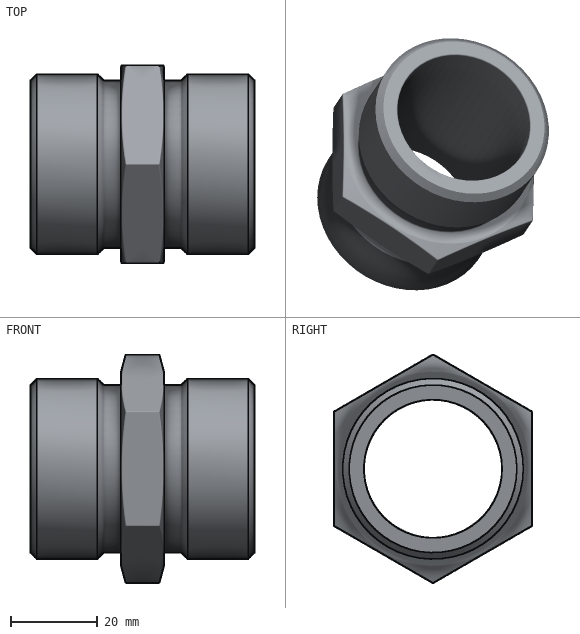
import cadquery as cq
import math

length = 52.0
bore_diameter = 32.0
thread_diameter = 41.91
relief_diameter = 39.0

hex_across_flats = 46.0
hex_width = 10.0
hex_face_diameter = 45.1
hex_chamfer_angle = 15.0

end_chamfer = 1.5
relief_width = 4.0
shoulder_length = 1.5
edge_radius = 0.3

half_length = length / 2
half_hex_width = hex_width / 2
bore_radius = bore_diameter / 2
thread_radius = thread_diameter / 2
relief_radius = relief_diameter / 2
hex_face_radius = hex_face_diameter / 2
hex_across_corners = hex_across_flats / math.cos(math.radians(30))


def revolve_about_x(profile):
    return profile.close().revolve(360, (0, 0, 0), (1, 0, 0))


def make_hex_collar():
    """Hexagon with corners up and down, coned on both faces and rounded on every edge."""
    prism = (
        cq.Workplane("YZ")
        .polygon(6, hex_across_corners)
        .extrude(half_hex_width, both=True)
        .rotate((0, 0, 0), (1, 0, 0), 90)
    )
    overrun = 1.0
    envelope_radius = hex_across_corners / 2 + overrun
    cone_drop = (envelope_radius - hex_face_radius) * math.tan(math.radians(hex_chamfer_angle))
    cone_base = half_hex_width - cone_drop
    envelope = revolve_about_x(
        cq.Workplane("XY")
        .moveTo(-half_hex_width, 0)
        .lineTo(-half_hex_width, hex_face_radius)
        .lineTo(-cone_base, envelope_radius)
        .lineTo(cone_base, envelope_radius)
        .lineTo(half_hex_width, hex_face_radius)
        .lineTo(half_hex_width, 0)
    )
    return prism.intersect(envelope).edges().fillet(edge_radius)


def make_threaded_end():
    """The +X end: undercut beside the collar, sloped shoulder and chamfered cylinder."""
    slope_start = half_hex_width + relief_width
    slope_end = slope_start + shoulder_length

    root_x = half_hex_width + edge_radius
    root_r = relief_radius + edge_radius
    root_mid = edge_radius * (1 - math.cos(math.radians(45)))

    slope_angle = math.atan2(thread_radius - relief_radius, shoulder_length)
    half_turn = slope_angle / 2
    slope_trim = edge_radius * math.tan(half_turn)
    arc_end_x = slope_start + slope_trim * math.cos(slope_angle)
    arc_end_r = relief_radius + slope_trim * math.sin(slope_angle)
    arc_start_x = slope_start - slope_trim
    arc_mid_x = arc_start_x + edge_radius * math.sin(half_turn)
    arc_mid_r = relief_radius + edge_radius * (1 - math.cos(half_turn))

    return revolve_about_x(
        cq.Workplane("XY")
        .lineTo(0, root_r)
        .lineTo(half_hex_width, root_r)
        .threePointArc((half_hex_width + root_mid, relief_radius + root_mid), (root_x, relief_radius))
        .lineTo(arc_start_x, relief_radius)
        .threePointArc((arc_mid_x, arc_mid_r), (arc_end_x, arc_end_r))
        .lineTo(slope_end, thread_radius)
        .lineTo(half_length - end_chamfer, thread_radius)
        .lineTo(half_length, thread_radius - end_chamfer)
        .lineTo(half_length, 0)
    )


def cut_bore(body):
    """Through bore, rounded at both mouths."""
    bore = cq.Workplane("YZ").circle(bore_radius).extrude(half_length, both=True)
    mouth_edges = cq.selectors.RadiusNthSelector(0)
    return body.cut(bore).faces("<X or >X").edges(mouth_edges).fillet(edge_radius)


threaded_end = make_threaded_end()
fitting = make_hex_collar().union(threaded_end).union(threaded_end.mirror("YZ"))
result = cut_bore(fitting)